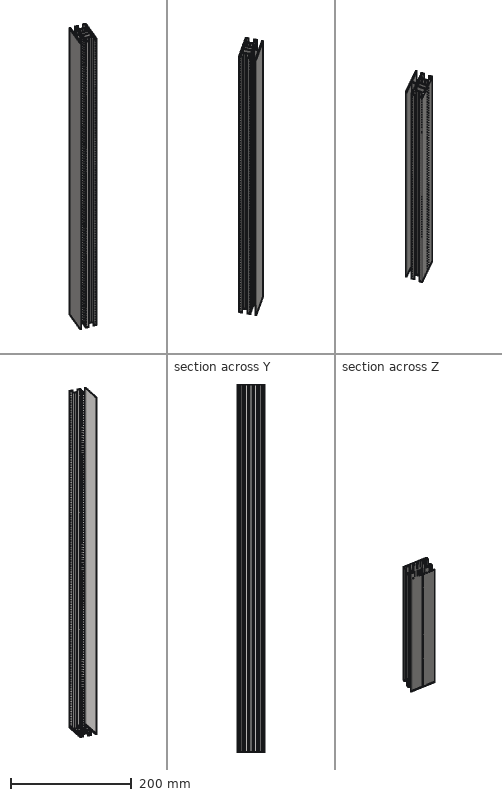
import cadquery as cq

WIDTH = 45.0
DEPTH = 30.0
LENGTH = 610.0
HALF_WIDTH = WIDTH / 2

WALL = 2.0
BASE_PLATE = WALL
PLATE_ROUND = 0.95
STEM = WALL
STEM_FLARE = 1.2

BODY_DEPTH = 20.0
BODY_TOP_Y = DEPTH / 2
BODY_BOTTOM_Y = BODY_TOP_Y - BODY_DEPTH
BODY_MID_Y = (BODY_TOP_Y + BODY_BOTTOM_Y) / 2
ROUND = WALL / 2
BODY_WALL = 1.7
HALF_HOLLOW = BODY_DEPTH / 2 - BODY_WALL

RECESS = 0.5
FOOT = 3.3

WEB = 1.5
OUTER_WEB_OUTER_X = 13.2
OUTER_WEB_INNER_X = OUTER_WEB_OUTER_X - WEB
INNER_WEB_OUTER_X = 4.3
INNER_WEB_INNER_X = INNER_WEB_OUTER_X - WEB
OUTER_WEB_CHAMFER = 2.3
INNER_WEB_CHAMFER = 1.0

LIP = WALL
CHANNEL_CHAMFER = 4.0
MOUTH = 8.2
LIP_CENTRE_X = HALF_WIDTH - LIP / 2
LIP_CENTRE_OFFSET = MOUTH / 2 + LIP / 2

VEE_WIDTH = 1.0
VEE_DEPTH = 0.4


def prism(points):
    """Full-length bar with a polygonal section."""
    return cq.Workplane("XY", origin=(0, 0, -LENGTH / 2)).polyline(points).close().extrude(LENGTH)


def bar(width, y_min, y_max):
    """Full-length rectangular bar centred on the middle plane."""
    half = width / 2
    return prism([(-half, y_min), (half, y_min), (half, y_max), (-half, y_max)])


def rod(x, y, radius):
    """Full-length round rod."""
    return cq.Workplane("XY", origin=(x, y, -LENGTH / 2)).circle(radius).extrude(LENGTH)


def both_sides(solid):
    """The solid together with its mirror image across the middle plane."""
    return solid.union(solid.mirror("YZ"))


def symmetric_prism(upper_points):
    """Prism whose section is the given upper half and its reflection in the body's mid height.

    Each point is an x position and a height above the body's mid height.
    """
    upper = [(x, BODY_MID_Y + h) for x, h in upper_points]
    lower = [(x, BODY_MID_Y - h) for x, h in reversed(upper_points)]
    return prism(upper + lower)


def base_plate():
    """Flat plate with rounded long edges that leave a narrow flat along each side."""
    y_min = -DEPTH / 2
    return bar(WIDTH, y_min, y_min + BASE_PLATE).edges("|Z").fillet(PLATE_ROUND)


def body_block():
    """Solid block of the body, rounded along its four long edges and recessed underneath."""
    block = bar(WIDTH, BODY_BOTTOM_Y, BODY_TOP_Y).edges("|Z").fillet(ROUND)
    return block.cut(bar(WIDTH - 2 * FOOT, BODY_BOTTOM_Y, BODY_BOTTOM_Y + RECESS))


def stem():
    """Stem from the base plate up to the body, flared at the body."""
    top_y = BODY_BOTTOM_Y + RECESS
    bottom_y = BASE_PLATE - DEPTH / 2
    half = STEM / 2
    flare = half + STEM_FLARE
    flare_y = top_y - STEM_FLARE
    return prism(
        [
            (-half, bottom_y),
            (half, bottom_y),
            (half, flare_y),
            (flare, top_y),
            (-flare, top_y),
            (-half, flare_y),
        ]
    )


def centre_cell():
    """Rectangular hollow between the inner webs."""
    return bar(2 * INNER_WEB_INNER_X, BODY_MID_Y - HALF_HOLLOW, BODY_MID_Y + HALF_HOLLOW)


def side_cell():
    """Hollow between an inner and an outer web, with chamfered corners."""
    return symmetric_prism(
        [
            (INNER_WEB_OUTER_X, HALF_HOLLOW - INNER_WEB_CHAMFER),
            (INNER_WEB_OUTER_X + INNER_WEB_CHAMFER, HALF_HOLLOW),
            (OUTER_WEB_INNER_X - OUTER_WEB_CHAMFER, HALF_HOLLOW),
            (OUTER_WEB_INNER_X, HALF_HOLLOW - OUTER_WEB_CHAMFER),
        ]
    )


def side_channel():
    """Open channel outside an outer web, with the vee line along its back."""
    back_x = OUTER_WEB_OUTER_X
    lip_inner_x = HALF_WIDTH - LIP
    channel = symmetric_prism(
        [
            (back_x, HALF_HOLLOW - CHANNEL_CHAMFER),
            (back_x + CHANNEL_CHAMFER, HALF_HOLLOW),
            (lip_inner_x, HALF_HOLLOW),
            (lip_inner_x, LIP_CENTRE_OFFSET),
            (HALF_WIDTH, LIP_CENTRE_OFFSET),
        ]
    )
    vee = prism(
        [
            (back_x, BODY_MID_Y - VEE_WIDTH / 2),
            (back_x - VEE_DEPTH, BODY_MID_Y),
            (back_x, BODY_MID_Y + VEE_WIDTH / 2),
        ]
    )
    return channel.union(vee)


def lip_tips():
    """Round tips of the two lips of a side channel."""
    upper = rod(LIP_CENTRE_X, BODY_MID_Y + LIP_CENTRE_OFFSET, LIP / 2)
    lower = rod(LIP_CENTRE_X, BODY_MID_Y - LIP_CENTRE_OFFSET, LIP / 2)
    return upper.union(lower)


hollows = centre_cell().union(both_sides(side_cell().union(side_channel())))
body = body_block().cut(hollows).union(both_sides(lip_tips()))
result = body.union(stem()).union(base_plate()).clean()